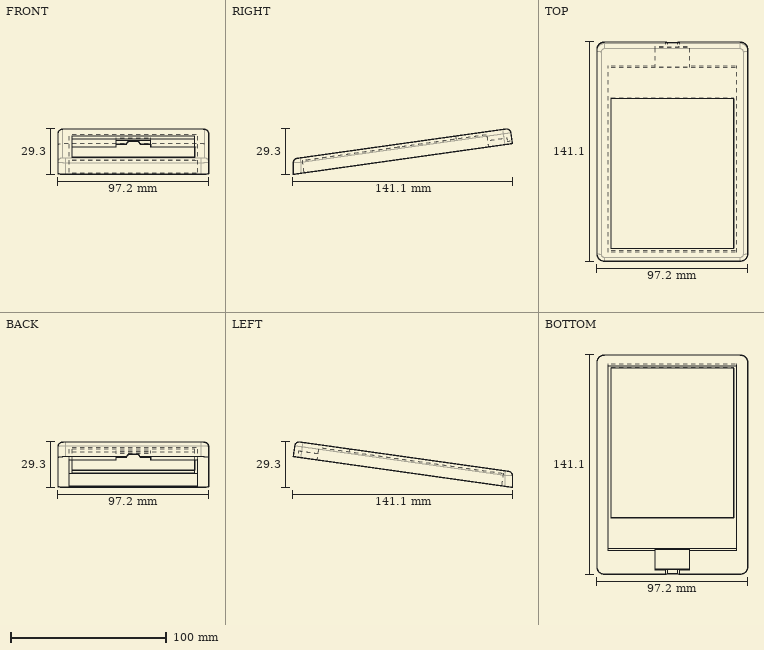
import cadquery as cq
import math

width = 97.2
depth = 141.1
tilt = 8.0
thickness = 10.0
corner_radius = 5.0
top_edge_radius = 3.0

top_plate = 2.0
side_wall = 7.2
front_wall = 7.0
rear_wall = 15.5

window_width = 78.7
window_front = 9.6
window_rear = 107.1

recess_width = 22.2
recess_height = 4.1
rear_lip = 3.0
slot_bottom_width = 8.9
slot_top_width = 6.5
slot_height = 1.8

slope_length = depth / math.cos(math.radians(tilt))
front_lean = thickness * math.tan(math.radians(tilt))


def block(size_x, y_start, y_end, z_start, z_end):
    """Box centred on X, between the given Y and Z limits."""
    return (
        cq.Workplane("XY")
        .box(size_x, y_end - y_start, z_end - z_start, centered=(True, False, False))
        .translate((0, y_start, z_start))
    )


def outer_body():
    """Rounded slab lying flat; its front leans so it stands upright once tilted."""
    profile = [(0, 0), (slope_length, 0), (slope_length, thickness), (front_lean, thickness)]
    slab = cq.Workplane("YZ").polyline(profile).close().extrude(width / 2, both=True)
    rounded = slab.edges("not(|X or |Y)").fillet(corner_radius)
    return rounded.faces(">Z").edges().fillet(top_edge_radius)


def underside_cavity():
    return block(
        width - 2 * side_wall, front_wall, slope_length - rear_wall, 0, thickness - top_plate
    )


def window():
    return block(window_width, window_front, window_rear, 0, thickness)


def plug_recess():
    return block(
        recess_width, slope_length - rear_wall, slope_length - rear_lip, 0, recess_height
    )


def cable_slot():
    """Tapered opening through the thin lip behind the plug recess."""
    outline = [
        (-slot_bottom_width / 2, 0),
        (slot_bottom_width / 2, 0),
        (slot_top_width / 2, slot_height),
        (-slot_top_width / 2, slot_height),
    ]
    return (
        cq.Workplane("XZ", origin=(0, slope_length, 0))
        .polyline(outline)
        .close()
        .extrude(rear_lip)
    )


cover = outer_body()
for opening in (underside_cavity(), window(), plug_recess(), cable_slot()):
    cover = cover.cut(opening)

result = cover.rotate((0, 0, 0), (1, 0, 0), tilt)